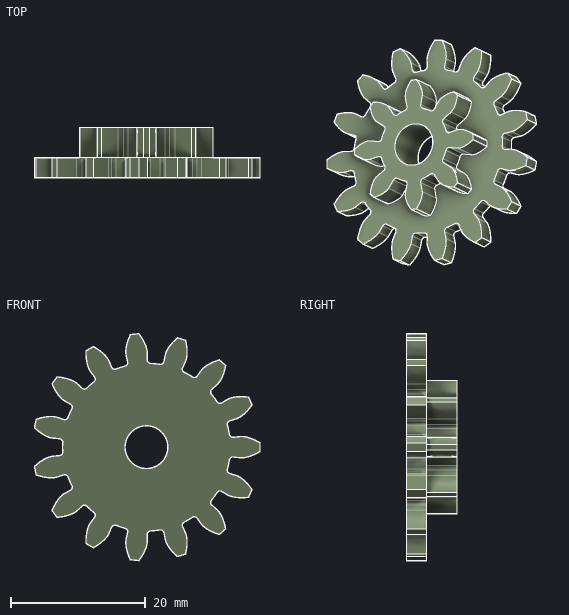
import cadquery as cq
import math

MODULE = 2.0
PRESSURE_ANGLE = math.radians(20)
ROOT_FILLET = 0.5
FLANK_POINTS = 7

LARGE_TEETH = 15
LARGE_TIP_RADIUS = 16.873
LARGE_ROOT_RADIUS = 12.45
LARGE_BASE_HALF_ANGLE = math.radians(6.55)
LARGE_THICKNESS = 3.0

SMALL_TEETH = 8
SMALL_TIP_RADIUS = 9.9
SMALL_ROOT_RADIUS = 5.58
SMALL_BASE_HALF_ANGLE = math.radians(10.94)
SMALL_THICKNESS = 4.5

BORE_DIAMETER = 6.3
TOTAL_THICKNESS = LARGE_THICKNESS + SMALL_THICKNESS


def polar(radius, angle):
    return (radius * math.cos(angle), radius * math.sin(angle))


def involute_angle(radius, base_radius):
    """Angle an involute has swept about the gear axis once it reaches the radius."""
    pressure = math.acos(base_radius / radius)
    return math.tan(pressure) - pressure


def involute_flank(base_radius, tip_radius, base_half_angle):
    """(radius, offset from the tooth centreline) pairs, from base circle to tip."""
    flank = []
    for i in range(FLANK_POINTS):
        radius = base_radius + (tip_radius - base_radius) * i / (FLANK_POINTS - 1)
        flank.append((radius, base_half_angle - involute_angle(radius, base_radius)))
    return flank


def gear(teeth, tip_radius, root_radius, base_half_angle, start_y, thickness):
    """Spur gear about the Y axis, with one tooth centred on +X."""
    pitch_radius = MODULE * teeth / 2
    base_radius = pitch_radius * math.cos(PRESSURE_ANGLE)
    tooth_pitch = 2 * math.pi / teeth
    flank = involute_flank(base_radius, tip_radius, base_half_angle)

    fillet_centre_radius = root_radius + ROOT_FILLET
    fillet_angle = math.asin(ROOT_FILLET / fillet_centre_radius)
    root_half_angle = base_half_angle + fillet_angle
    fillet_top_radius = fillet_centre_radius * math.cos(fillet_angle)

    outline = cq.Workplane("XZ", origin=(0, start_y, 0))
    outline = outline.moveTo(*polar(root_radius, -root_half_angle))
    for i in range(teeth):
        centre = i * tooth_pitch
        rising = [polar(radius, centre - offset) for radius, offset in flank]
        falling = [polar(radius, centre + offset) for radius, offset in reversed(flank)]
        next_root = centre + tooth_pitch - root_half_angle

        outline = outline.radiusArc(polar(fillet_top_radius, centre - base_half_angle), ROOT_FILLET)
        outline = outline.lineTo(*rising[0])
        outline = outline.spline(rising[1:], includeCurrent=True)
        outline = outline.lineTo(*falling[0])
        outline = outline.spline(falling[1:], includeCurrent=True)
        outline = outline.lineTo(*polar(fillet_top_radius, centre + base_half_angle))
        outline = outline.radiusArc(polar(root_radius, centre + root_half_angle), ROOT_FILLET)
        outline = outline.threePointArc(
            polar(root_radius, centre + tooth_pitch / 2),
            polar(root_radius, next_root),
        )
    return outline.close().extrude(-thickness)


large_gear = gear(
    LARGE_TEETH,
    LARGE_TIP_RADIUS,
    LARGE_ROOT_RADIUS,
    LARGE_BASE_HALF_ANGLE,
    start_y=0,
    thickness=LARGE_THICKNESS,
)
small_gear = gear(
    SMALL_TEETH,
    SMALL_TIP_RADIUS,
    SMALL_ROOT_RADIUS,
    SMALL_BASE_HALF_ANGLE,
    start_y=LARGE_THICKNESS,
    thickness=SMALL_THICKNESS,
)
bore = cq.Workplane("XZ").circle(BORE_DIAMETER / 2).extrude(-TOTAL_THICKNESS)

result = large_gear.union(small_gear).cut(bore)